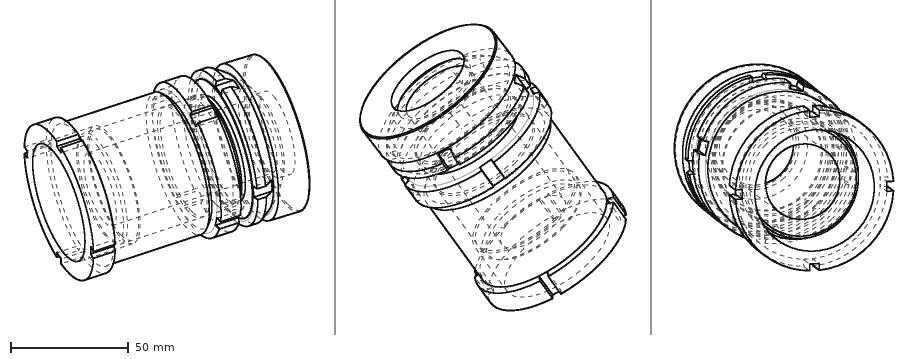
import cadquery as cq
import math


overall_length = 103.3
rim_radius = 35.0
ring_thickness = 11.1
thread_radius = 25.0
ball_radius = 40.0
rim_chamfer_radial = 2.7
rim_chamfer_axial = 0.8
face_radius = rim_radius - rim_chamfer_radial
slot_count = 4
wrench_slot_width = 6.0
wrench_slot_depth = 2.5

sleeve_radius = 32.0
sleeve_height = 58.1
sleeve_chamfer = 2.1
bore_radius = 26.4
bore_depth = 25.8
flange_slot_width = 4.1
flange_slot_depth = 3.0

nut_base = 59.3
nut_slot_angle = -14.4

spindle_hole_radius = 16.4
spindle_base = 19.3
relief_radius = 23.8
thread_chamfer = thread_radius - relief_radius
relief_base = 75.1
head_base = 76.5
head_recess_radius = 31.3
head_recess_depth = 0.3
head_rim_top = 81.4
head_top = 95.0
head_slot_angle = 6.0
ball_center = head_rim_top - math.sqrt(ball_radius**2 - rim_radius**2)

washer_base = 86.9
washer_hole_radius = 18.6
washer_chamfer = 0.5
washer_tilt_x = -0.5
washer_tilt_z = -1.25
tilt_cosine = math.cos(math.radians(washer_tilt_x)) * math.cos(math.radians(washer_tilt_z))
tilt_sine = math.sqrt(1 - tilt_cosine**2)
washer_edge_rise = (rim_radius - washer_chamfer) * tilt_sine
washer_top = ball_center + (overall_length - ball_center - washer_edge_rise) / tilt_cosine


def ball_radius_at(height):
    """Radius of the spherical seat's section at a height along Y."""
    return math.sqrt(ball_radius**2 - (height - ball_center) ** 2)


def ball_point(height):
    return (ball_radius_at(height), height)


def turn(profile):
    """Revolve a closed (radius, height) outline about the Y axis."""
    return profile.close().revolve(360, (0, 0, 0), (0, 1, 0))


def rim_slots(width, depth, base, top, angle):
    """Cutters for evenly spaced slots in a rim, the first one turned from +Z about Y."""
    floor = rim_radius - depth
    cutters = cq.Workplane("XY")
    for i in range(slot_count):
        cutter = (
            cq.Workplane("XY")
            .box(width, top - base, 2 * depth, centered=(True, False, False))
            .translate((0, base, floor))
            .rotate((0, 0, 0), (0, 1, 0), -angle + i * 360 / slot_count)
        )
        cutters = cutters.add(cutter)
    return cutters.combine()


def make_sleeve():
    body = turn(
        cq.Workplane("XY").polyline([
            (bore_radius, 0),
            (rim_radius, 0),
            (rim_radius, ring_thickness - rim_chamfer_axial),
            (face_radius, ring_thickness),
            (sleeve_radius, ring_thickness),
            (sleeve_radius, sleeve_height - sleeve_chamfer),
            (sleeve_radius - sleeve_chamfer, sleeve_height),
            (thread_radius, sleeve_height),
            (thread_radius, bore_depth),
            (bore_radius, bore_depth),
        ])
    )
    return body.cut(rim_slots(flange_slot_width, flange_slot_depth, 0, ring_thickness, 0))


def make_lock_nut():
    nut_top = nut_base + ring_thickness
    body = turn(
        cq.Workplane("XY").polyline([
            (thread_radius, nut_base),
            (face_radius, nut_base),
            (rim_radius, nut_base + rim_chamfer_axial),
            (rim_radius, nut_top - rim_chamfer_axial),
            (face_radius, nut_top),
            (thread_radius, nut_top),
        ])
    )
    return body.cut(rim_slots(wrench_slot_width, wrench_slot_depth, nut_base, nut_top, nut_slot_angle))


def make_spindle():
    mid_height = (head_rim_top + head_top) / 2
    body = turn(
        cq.Workplane("XY").polyline([
            (spindle_hole_radius, head_top),
            (spindle_hole_radius, spindle_base),
            (relief_radius, spindle_base),
            (thread_radius, spindle_base + thread_chamfer),
            (thread_radius, relief_base - thread_chamfer),
            (relief_radius, relief_base),
            (relief_radius, head_base + head_recess_depth),
            (head_recess_radius, head_base + head_recess_depth),
            (head_recess_radius, head_base),
            (face_radius, head_base),
            (rim_radius, head_base + rim_chamfer_axial),
            (rim_radius, head_rim_top),
        ])
        .threePointArc(ball_point(mid_height), ball_point(head_top))
    )
    return body.cut(rim_slots(wrench_slot_width, wrench_slot_depth, head_base, head_top, head_slot_angle))


def make_washer():
    seat_top = ball_center + math.sqrt(ball_radius**2 - washer_hole_radius**2)
    mid_height = (washer_base + seat_top) / 2
    body = turn(
        cq.Workplane("XY").polyline([
            (washer_hole_radius, seat_top),
            (washer_hole_radius, washer_top),
            (rim_radius - washer_chamfer, washer_top),
            (rim_radius, washer_top - washer_chamfer),
            (rim_radius, washer_base + rim_chamfer_axial),
            (face_radius, washer_base),
            ball_point(washer_base),
        ])
        .threePointArc(ball_point(mid_height), (washer_hole_radius, seat_top))
    )
    pivot = cq.Vector(0, ball_center, 0)
    return (
        body.rotate(pivot, pivot + cq.Vector(1, 0, 0), washer_tilt_x)
        .rotate(pivot, pivot + cq.Vector(0, 0, 1), washer_tilt_z)
    )


sleeve = make_sleeve()
lock_nut = make_lock_nut()
spindle = make_spindle()
washer = make_washer()

result = cq.Compound.makeCompound([
    sleeve.val(),
    lock_nut.val(),
    spindle.val(),
    washer.val(),
])